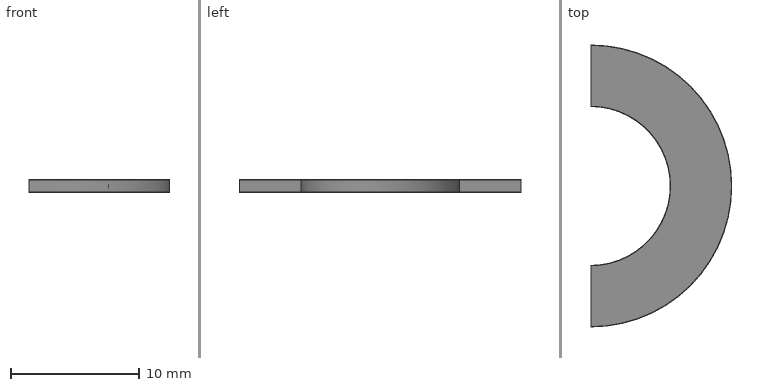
import cadquery as cq

outer_radius = 11.0
inner_radius = 6.2
thickness = 1.0

result = (
    cq.Workplane("XY")
    .moveTo(0, -outer_radius)
    .threePointArc((outer_radius, 0), (0, outer_radius))
    .lineTo(0, inner_radius)
    .threePointArc((inner_radius, 0), (0, -inner_radius))
    .close()
    .extrude(thickness)
)